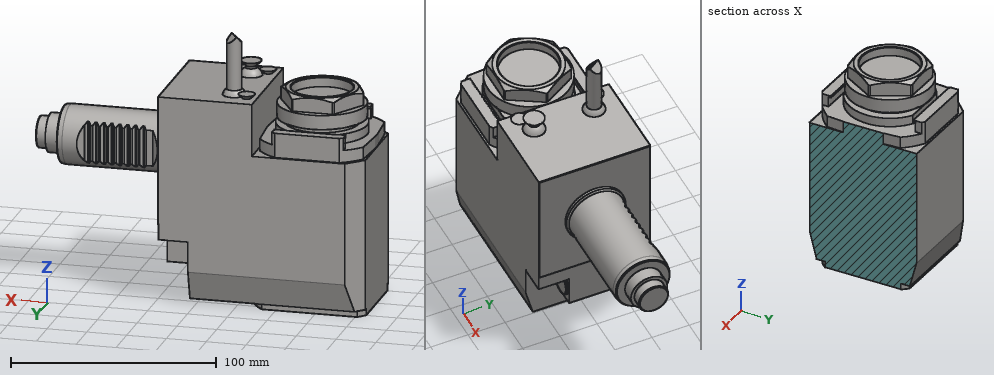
import cadquery as cq
import math


overall_length = 169.5
half_width = 30.0
spindle_x = 27.5

head_length = 55.0
head_top = 6.1
block_top = 32.5
body_bottom = -70.3
body_length = 87.1
block_length = 101.9
block_bottom = -40.3
corner_chamfer = 8.3
taper_start = -55.6
taper_angle = 15.0

pad_thickness = 0.5
pad_half_height = 32.5
pad_chamfer = 0.3

lug_bottom = -56.6
lug_half_width = 13.5
boss_z = -48.0
boss_radius = 6.8
boss_height = 1.4
boss_chamfer = 0.5

foot_length = 59.3
foot_half_width = 24.2
foot_radius = 34.0
foot_bottom = -73.5

plate_top = 12.2
plate_half_width = 28.8
plate_half_length = 27.3
plate_side_half_length = 26.0
plate_flat_half_width = 1.9
plate_corner_y = 21.2
plate_radius = 33.0
ear_half_length = 18.0
ear_top = 18.5
ear_inner_y = 24.2
ear_lip = 1.2
ear_lip_height = 1.0

collar_radius = 16.0
collar_edge_x = 103.9
collar_end_x = 104.5
shank_radius = 15.0
shank_taper_x = 154.4
shank_end_x = 157.3
shank_end_radius = 14.5
shank_end_chamfer = 0.5
journal_radius = 9.8
journal_end_x = 164.0
tip_radius = 8.0
tip_chamfer = 0.5

rack_y = 11.9
rack_start_x = 109.5
rack_end_x = 143.9
valley_count = 8
first_valley_x = 114.4
last_valley_x = 142.2
valley_pitch = (last_valley_x - first_valley_x) / (valley_count - 1)
valley_depth = 1.4
valley_floor_half_width = 0.3
valley_half_width = 1.5

ball_x = 67.5
ball_y = 16.1
ball_radius = 6.0
ball_center_z = 30.8
pipe_radius = 3.7
pipe_top = 62.7
pipe_turn = 33.0
jet_radius = 1.9
jet_depth = 1.0
jet_bore_radius = 0.8
jet_bore_depth = 2.0
stub_radius = 2.7
stub_top = 37.3
stub_cone_height = 2.5
plug_x = 60.0
plug_y = 20.5
plug_radius = 2.0
plug_height = 2.0

base_radius = 22.7
base_flat_half_distance = 19.3
base_top = 17.0
neck_radius = 18.1
flange_radius = 22.0
flange_bottom = 18.8
flange_chamfer_top = 19.8
flange_bottom_radius = 19.3
flange_top = 27.0
hex_across_flats = 36.3
hex_corner_radius = 20.7
hex_top = 34.5
hex_crown_radius = 17.8
hex_crown_angle = 30.0
recess_radius = 15.3
recess_depth = 5.0
recess_chamfer = 0.3


def box(x0, x1, y0, y1, z0, z1):
    return cq.Workplane("XY").box(x1 - x0, y1 - y0, z1 - z0, centered=False).translate((x0, y0, z0))


def cylinder(x, y, radius, z0, z1):
    return cq.Workplane("XY", origin=(x, y, z0)).circle(radius).extrude(z1 - z0)


def cone(x, y, bottom_radius, top_radius, z0, z1):
    profile = [(0, z0), (bottom_radius, z0), (top_radius, z1), (0, z1)]
    return cq.Workplane("XZ").polyline(profile).close().revolve(360, (0, 0), (0, 1)).translate((x, y, 0))


def make_housing():
    lower_body = box(0, body_length, -half_width, half_width, body_bottom, head_top)
    block = box(head_length, block_length, -half_width, half_width, block_bottom, block_top)
    housing = lower_body.union(block)

    plan = box(0, block_length, -half_width, half_width, body_bottom, block_top)
    plan = plan.edges("|Z and <X").chamfer(corner_chamfer)

    taper_run = (taper_start - body_bottom) * math.tan(math.radians(taper_angle))
    section = [
        (-half_width, block_top),
        (half_width, block_top),
        (half_width, taper_start),
        (half_width - taper_run, body_bottom),
        (-half_width + taper_run, body_bottom),
        (-half_width, taper_start),
    ]
    tapered_sides = cq.Workplane("YZ").polyline(section).close().extrude(block_length)
    return housing.intersect(plan).intersect(tapered_sides)


def make_rear_pad():
    pad = box(block_length, block_length + pad_thickness, -half_width, half_width,
              -pad_half_height, pad_half_height)
    return pad.faces(">X").edges().chamfer(pad_chamfer)


def make_lug():
    lug = box(body_length, block_length, -lug_half_width, lug_half_width, lug_bottom, block_bottom)
    boss_x = (body_length + block_length) / 2
    boss = cq.Workplane("XZ", origin=(boss_x, -lug_half_width, boss_z)).circle(boss_radius).extrude(boss_height)
    return lug.union(boss.faces("<Y").edges().chamfer(boss_chamfer))


def make_foot():
    foot = box(0, foot_length, -foot_half_width, foot_half_width, foot_bottom, body_bottom)
    return foot.intersect(cylinder(spindle_x, 0, foot_radius, foot_bottom, body_bottom))


def make_cover_plate():
    outline = [
        (plate_half_length, plate_flat_half_width),
        (plate_side_half_length, plate_corner_y),
        (plate_side_half_length, plate_half_width),
        (-plate_side_half_length, plate_half_width),
        (-plate_side_half_length, plate_corner_y),
        (-plate_half_length, plate_flat_half_width),
        (-plate_half_length, -plate_flat_half_width),
        (-plate_side_half_length, -plate_corner_y),
        (-plate_side_half_length, -plate_half_width),
        (plate_side_half_length, -plate_half_width),
        (plate_side_half_length, -plate_corner_y),
        (plate_half_length, -plate_flat_half_width),
    ]
    plate = cq.Workplane("XY", origin=(spindle_x, 0, head_top)).polyline(outline).close()
    plate = plate.extrude(plate_top - head_top)
    return plate.intersect(cylinder(spindle_x, 0, plate_radius, head_top, plate_top))


def make_ear():
    x0 = spindle_x - ear_half_length
    x1 = spindle_x + ear_half_length
    wall = box(x0, x1, ear_inner_y, plate_half_width, plate_top, ear_top)
    lip = box(x0, x1, ear_inner_y - ear_lip, ear_inner_y, ear_top - ear_lip_height, ear_top)
    return wall.union(lip).intersect(cylinder(spindle_x, 0, plate_radius, plate_top, ear_top))


def make_spindle_socket():
    return cylinder(spindle_x, 0, base_radius, head_top, plate_top)


def make_shank():
    profile = [
        (block_length, 0),
        (block_length, collar_radius),
        (collar_edge_x, collar_radius),
        (collar_end_x, shank_radius),
        (shank_taper_x, shank_radius),
        (shank_end_x - shank_end_chamfer, shank_end_radius),
        (shank_end_x, shank_end_radius - shank_end_chamfer),
        (shank_end_x, journal_radius),
        (journal_end_x, journal_radius),
        (journal_end_x, tip_radius),
        (overall_length - tip_chamfer, tip_radius),
        (overall_length, tip_radius - tip_chamfer),
        (overall_length, 0),
    ]
    return cq.Workplane("XY").polyline(profile).close().revolve(360, (0, 0), (1, 0))


def make_rack_cutter():
    slope_run = collar_radius - rack_y
    outline = [(rack_start_x - slope_run, collar_radius), (rack_start_x, rack_y)]
    for valley in range(valley_count):
        valley_x = first_valley_x + valley * valley_pitch
        outline += [
            (valley_x - valley_half_width, rack_y),
            (valley_x - valley_floor_half_width, rack_y - valley_depth),
            (valley_x + valley_floor_half_width, rack_y - valley_depth),
            (valley_x + valley_half_width, rack_y),
        ]
    outline += [(rack_end_x, rack_y), (rack_end_x + slope_run, collar_radius)]
    cutter = cq.Workplane("XY").polyline(outline).close()
    return cutter.extrude(shank_radius, both=True)


def make_ball(y):
    return cq.Workplane("XY").sphere(ball_radius).translate((ball_x, y, ball_center_z))


def make_pipe():
    """Pipe with a 45-degree roof tip and a stepped jet hole square to its front slope."""
    roof = [
        (-pipe_radius, ball_center_z),
        (pipe_radius, ball_center_z),
        (pipe_radius, pipe_top - pipe_radius),
        (0, pipe_top),
        (-pipe_radius, pipe_top - pipe_radius),
    ]
    envelope = cq.Workplane("XZ").polyline(roof).close().extrude(pipe_radius, both=True)
    pipe = cylinder(0, 0, pipe_radius, ball_center_z, pipe_top).intersect(envelope)

    slope_middle = (-pipe_radius / 2, 0, pipe_top - pipe_radius / 2)
    slope = cq.Plane(origin=slope_middle, xDir=(0, 1, 0), normal=(-1, 0, 1))
    jet = cq.Workplane(slope).circle(jet_radius).extrude(-jet_depth)
    bore = cq.Workplane(slope).circle(jet_bore_radius).extrude(-jet_bore_depth)
    pipe = pipe.cut(jet).cut(bore)
    return pipe.rotate((0, 0, 0), (0, 0, 1), pipe_turn).translate((ball_x, ball_y, 0))


def make_stub():
    stem = cylinder(ball_x, -ball_y, stub_radius, ball_center_z, stub_top)
    head = cone(ball_x, -ball_y, stub_radius, stub_radius + stub_cone_height,
                stub_top, stub_top + stub_cone_height)
    return stem.union(head)


def make_plug(y):
    return cone(plug_x, y, plug_radius, plug_radius + plug_height, block_top, block_top + plug_height)


def make_spindle_base():
    """Round base filling the socket, with wrench flats on the part that stands above the plate."""
    base = cylinder(spindle_x, 0, base_radius, head_top, base_top)
    for flat_start, flat_end in ((base_flat_half_distance, base_radius), (-base_radius, -base_flat_half_distance)):
        base = base.cut(box(spindle_x - base_radius, spindle_x + base_radius, flat_start, flat_end,
                            plate_top, base_top))
    return base


def make_nut():
    flange_profile = [
        (0, base_top),
        (neck_radius, base_top),
        (neck_radius, flange_bottom),
        (flange_bottom_radius, flange_bottom),
        (flange_radius, flange_chamfer_top),
        (flange_radius, flange_top),
        (0, flange_top),
    ]
    flange = cq.Workplane("XZ").polyline(flange_profile).close().revolve(360, (0, 0), (0, 1))

    corner_diameter = hex_across_flats / math.cos(math.pi / 6)
    hexagon = cq.Workplane("XY", origin=(0, 0, flange_top)).polygon(6, corner_diameter)
    hexagon = hexagon.extrude(hex_top - flange_top)
    crown_drop = (hex_corner_radius - hex_crown_radius) * math.tan(math.radians(hex_crown_angle))
    crown_profile = [
        (0, flange_top),
        (hex_corner_radius, flange_top),
        (hex_corner_radius, hex_top - crown_drop),
        (hex_crown_radius, hex_top),
        (0, hex_top),
    ]
    crown = cq.Workplane("XZ").polyline(crown_profile).close().revolve(360, (0, 0), (0, 1))
    nut = flange.union(hexagon.intersect(crown))

    nut = nut.cut(cylinder(0, 0, recess_radius, hex_top - recess_depth, hex_top))
    nut = nut.cut(cone(0, 0, recess_radius, recess_radius + recess_chamfer, hex_top - recess_chamfer, hex_top))
    return nut.translate((spindle_x, 0, 0))


holder = make_housing().union(make_rear_pad()).union(make_lug()).union(make_foot())
holder = holder.union(make_cover_plate()).cut(make_spindle_socket())
ear = make_ear()
holder = holder.union(ear).union(ear.mirror("XZ"))
holder = holder.union(make_shank().cut(make_rack_cutter()))
for side in (-1, 1):
    holder = holder.union(make_ball(side * ball_y)).union(make_plug(side * plug_y))
holder = holder.union(make_pipe()).union(make_stub())

spindle_nose = make_spindle_base().union(make_nut())

result = cq.Compound.makeCompound([holder.val(), spindle_nose.val()])